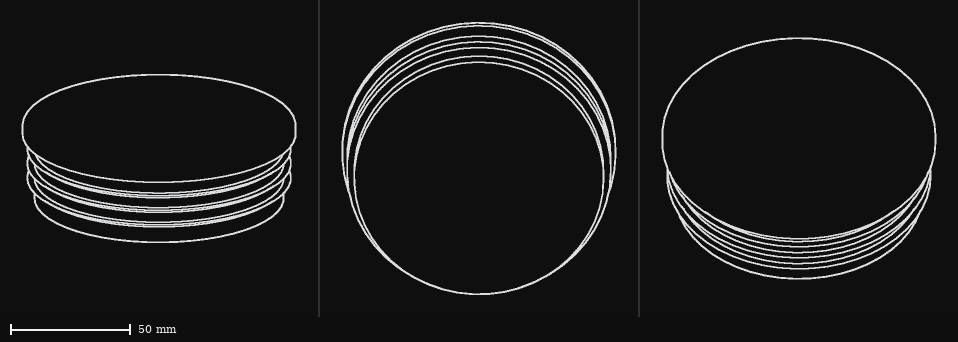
import cadquery as cq

flange_diameter = 114.0
total_height = 34.0
flange_thickness = 5.2
flange_edge_radius = 2.0

body_diameter = 104.0

fin_diameter = 110.0
fin_height = 2.0
fin_count = 3
fin_pitch = 6.5
lowest_fin_top = 9.0


def make_flange():
    """Disc that closes the top, with a rounded upper edge."""
    return (
        cq.Workplane("XY")
        .workplane(offset=total_height - flange_thickness)
        .circle(flange_diameter / 2)
        .extrude(flange_thickness)
        .faces(">Z")
        .edges()
        .fillet(flange_edge_radius)
    )


def make_body():
    """Round plug from the base to the top of the flange."""
    return cq.Workplane("XY").circle(body_diameter / 2).extrude(total_height)


def make_fin(top):
    """Cone-shaped fin whose flat upper face lies at height top."""
    profile = [
        (0, top - fin_height),
        (body_diameter / 2, top - fin_height),
        (fin_diameter / 2, top),
        (0, top),
    ]
    return cq.Workplane("XZ").polyline(profile).close().revolve(360, (0, 0), (0, 1))


result = make_body().union(make_flange())
for index in range(fin_count):
    result = result.union(make_fin(lowest_fin_top + index * fin_pitch))